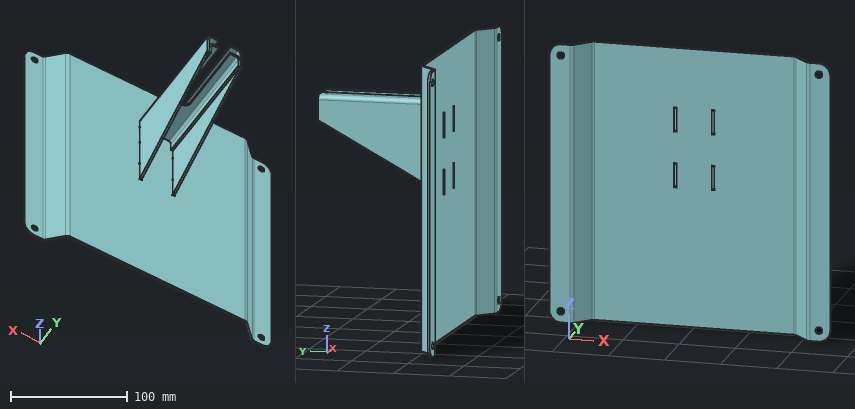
import cadquery as cq
import math

SHEET = 2.0

PLATE_SIZE = 250.0
PANEL_RAISE = 15.0
PLATE_BEND_INSIDE = 3.0
BEND_ANGLE = 45.0
FLANGE_WIDTH = 20.0
CORNER_RADIUS = 10.0
MOUNTING_HOLE_DIAMETER = 6.0
MOUNTING_HOLE_OFFSET = 115.0

BRACKET_WIDTH = 35.5
BRACKET_LENGTH = 110.0
BRACKET_HEIGHT = 82.5
BRACKET_TIP_HEIGHT = 23.0
LIP_GAP = 12.0
BRACKET_BEND_INSIDE = 2.5

TAB_HEIGHT = 20.0
TAB_BOTTOMS = (0.5, 50.5)
TAB_LENGTH = 1.5
SLOT_END_CLEARANCE = 1.0
SLOT_SIDE_CLEARANCE = 0.2

CHANNEL_DEPTH = 10.0
CHANNEL_SLOT_WIDTH = 11.2
CHANNEL_SLOT_LENGTH = 70.0

HALF_PLATE = PLATE_SIZE / 2
HALF_BRACKET = BRACKET_WIDTH / 2
WALL_CENTRE = HALF_BRACKET - SHEET / 2
TIP_BOTTOM = BRACKET_HEIGHT - BRACKET_TIP_HEIGHT
PANEL_FRONT = -SHEET
FLANGE_BACK = -PANEL_RAISE
FLANGE_FRONT = FLANGE_BACK - SHEET


def box(x_range, y_range, z_range):
    """Box between the given limits."""
    sizes = [high - low for low, high in (x_range, y_range, z_range)]
    corner = (x_range[0], y_range[0], z_range[0])
    return cq.Workplane("XY").box(*sizes, centered=False).translate(corner)


def make_plate():
    """Bent plate with rounded corners, mounting holes and tab slots."""
    foot = HALF_PLATE - FLANGE_WIDTH
    crest = foot - PANEL_RAISE / math.tan(math.radians(BEND_ANGLE))
    miter = SHEET * math.tan(math.radians(BEND_ANGLE / 2))
    front = [(HALF_PLATE, FLANGE_FRONT), (foot, FLANGE_FRONT), (crest, PANEL_FRONT)]
    back = [(HALF_PLATE, FLANGE_BACK), (foot + miter, FLANGE_BACK), (crest + miter, 0)]
    right = front[::-1] + back
    left = [(-x, y) for x, y in reversed(right)]
    plate = (
        cq.Workplane("XY")
        .polyline(right + left)
        .close()
        .extrude(HALF_PLATE, both=True)
    )

    def bend_edges(points):
        """Upright edges through the given points and their mirror images."""
        mirrored = [(side * x, y, 0) for x, y in points for side in (-1, 1)]
        return [plate.edges(cq.NearestToPointSelector(point)).val() for point in mirrored]

    inside = bend_edges([front[2], back[1]])
    outside = bend_edges([front[1], back[2]])
    bent = plate.val().fillet(PLATE_BEND_INSIDE, inside).fillet(PLATE_BEND_INSIDE + SHEET, outside)

    trim = (
        cq.Workplane("XZ")
        .rect(PLATE_SIZE, PLATE_SIZE)
        .extrude(-FLANGE_FRONT)
        .edges("|Y")
        .fillet(CORNER_RADIUS)
    )
    holes = (
        cq.Workplane("XZ")
        .rect(2 * MOUNTING_HOLE_OFFSET, 2 * MOUNTING_HOLE_OFFSET, forConstruction=True)
        .vertices()
        .circle(MOUNTING_HOLE_DIAMETER / 2)
        .extrude(-FLANGE_FRONT)
    )
    plate = cq.Workplane("XY").add(bent).intersect(trim).cut(holes)
    for side in (-1, 1):
        for bottom in TAB_BOTTOMS:
            plate = plate.cut(make_tab_slot(side, bottom))
    return plate


def make_tab(side, bottom):
    """Tab on the end of one side wall, reaching into the panel."""
    x = side * WALL_CENTRE
    return box(
        (x - SHEET / 2, x + SHEET / 2),
        (-TAB_LENGTH, 0),
        (bottom, bottom + TAB_HEIGHT),
    )


def make_tab_slot(side, bottom):
    """Slot through the panel around one tab."""
    x = side * WALL_CENTRE
    half_width = SHEET / 2 + SLOT_SIDE_CLEARANCE
    return box(
        (x - half_width, x + half_width),
        (PANEL_FRONT, 0),
        (bottom - SLOT_END_CLEARANCE, bottom + TAB_HEIGHT + SLOT_END_CLEARANCE),
    )


def make_side_piece(side):
    """Tapered side wall with a lip bent inward along its top and two tabs."""
    length = (0, BRACKET_LENGTH)
    outer = box((LIP_GAP / 2, HALF_BRACKET), length, (0, BRACKET_HEIGHT))
    outer = outer.edges("|Y and >X and >Z").fillet(BRACKET_BEND_INSIDE + SHEET)
    inner = box((0, HALF_BRACKET - SHEET), length, (-SHEET, BRACKET_HEIGHT - SHEET))
    inner = inner.edges("|Y and >X and >Z").fillet(BRACKET_BEND_INSIDE)
    taper = (
        cq.Workplane("YZ")
        .polyline([(0, 0), (BRACKET_LENGTH, 0), (BRACKET_LENGTH, TIP_BOTTOM)])
        .close()
        .extrude(HALF_BRACKET)
    )
    piece = outer.cut(inner).cut(taper)
    for bottom in TAB_BOTTOMS:
        piece = piece.union(make_tab(1, bottom))
    return piece if side > 0 else piece.mirror("YZ")


def make_inner_channel():
    """Channel between the side walls, with legs down and a round-ended slot open at its free end."""
    half_width = HALF_BRACKET - SHEET
    length = (0, BRACKET_LENGTH)
    top = BRACKET_HEIGHT - CHANNEL_DEPTH
    outer = box((-half_width, half_width), length, (TIP_BOTTOM, top))
    outer = outer.edges("|Y and >Z").fillet(BRACKET_BEND_INSIDE + SHEET)
    inner_half_width = half_width - SHEET
    inner = box((-inner_half_width, inner_half_width), length, (TIP_BOTTOM, top - SHEET))
    inner = inner.edges("|Y and >Z").fillet(BRACKET_BEND_INSIDE)
    radius = CHANNEL_SLOT_WIDTH / 2
    slot_end = BRACKET_LENGTH - CHANNEL_SLOT_LENGTH
    slot = (
        cq.Workplane("XY", origin=(0, 0, top))
        .moveTo(-radius, BRACKET_LENGTH)
        .lineTo(-radius, slot_end + radius)
        .threePointArc((0, slot_end), (radius, slot_end + radius))
        .lineTo(radius, BRACKET_LENGTH)
        .close()
        .extrude(-SHEET)
    )
    return outer.cut(inner).cut(slot)


plate = make_plate()
side_pieces = [make_side_piece(side) for side in (-1, 1)]
inner_channel = make_inner_channel()

result = cq.Compound.makeCompound(
    [plate.val(), *[piece.val() for piece in side_pieces], inner_channel.val()]
)